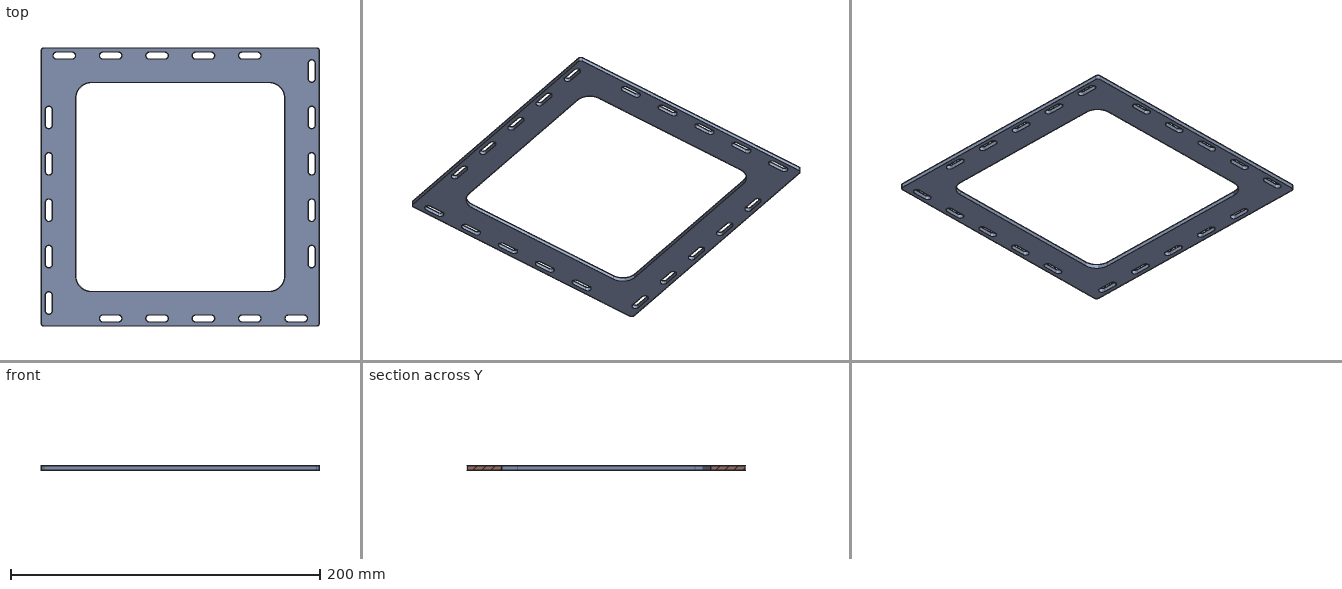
import cadquery as cq

side = 180.0
thickness = 3.0
outer_corner_radius = 2.0

window_side = 135.0
window_corner_radius = 10.0

slot_straight = 10.0
slot_width = 4.4
slot_length = slot_straight + slot_width
slot_pitch = 30.0
slots_per_edge = 5
slot_edge_distance = 5.0
row_offset = side / 2 - slot_edge_distance
row_start = -75.0
edge_count = 4


def rounded_square(width, corner_radius):
    """Square prism of plate thickness, centred on Z, with rounded upright edges."""
    return cq.Workplane("XY").box(width, width, thickness).edges("|Z").fillet(corner_radius)


def slot_row():
    """Cutter for the slots along the +Y edge; the row sits nearer its -X end."""
    centres = [(row_start + i * slot_pitch, row_offset) for i in range(slots_per_edge)]
    return (
        cq.Workplane("XY")
        .pushPoints(centres)
        .slot2D(slot_length, slot_width)
        .extrude(thickness, both=True)
    )


result = rounded_square(side, outer_corner_radius).cut(
    rounded_square(window_side, window_corner_radius)
)

for edge in range(edge_count):
    turn = edge * 360.0 / edge_count
    result = result.cut(slot_row().rotate((0, 0, 0), (0, 0, 1), turn))